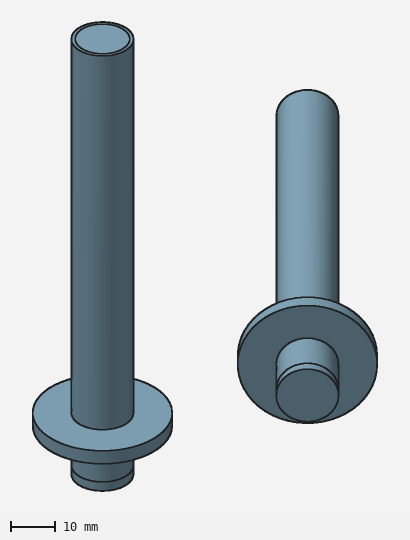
import cadquery as cq

total_length = 116.5
sleeve_diameter = 14.0
core_diameter = 12.2
flange_diameter = 31.3
flange_thickness = 3.5
flange_bottom = 12.9
cap_thickness = 2.5

sleeve_length = total_length - cap_thickness


def cylinder(diameter, length, bottom):
    """Upright solid cylinder on the Z axis."""
    return cq.Workplane("XY").workplane(offset=bottom).circle(diameter / 2).extrude(length)


def make_end_cap():
    """Plain disc that closes the lower end of the sleeve."""
    return cylinder(sleeve_diameter, cap_thickness, 0)


def make_core():
    """Rod that fills the sleeve bore, resting on the end cap and flush at the top."""
    return cylinder(core_diameter, sleeve_length, cap_thickness)


def make_sleeve():
    """Tube with a flange near its lower end."""
    tube = cylinder(sleeve_diameter, sleeve_length, cap_thickness)
    flange = cylinder(flange_diameter, flange_thickness, flange_bottom)
    bore = cylinder(core_diameter, sleeve_length, cap_thickness)
    return tube.union(flange).cut(bore)


end_cap = make_end_cap()
core = make_core()
sleeve = make_sleeve()

result = cq.Compound.makeCompound([end_cap.val(), core.val(), sleeve.val()])